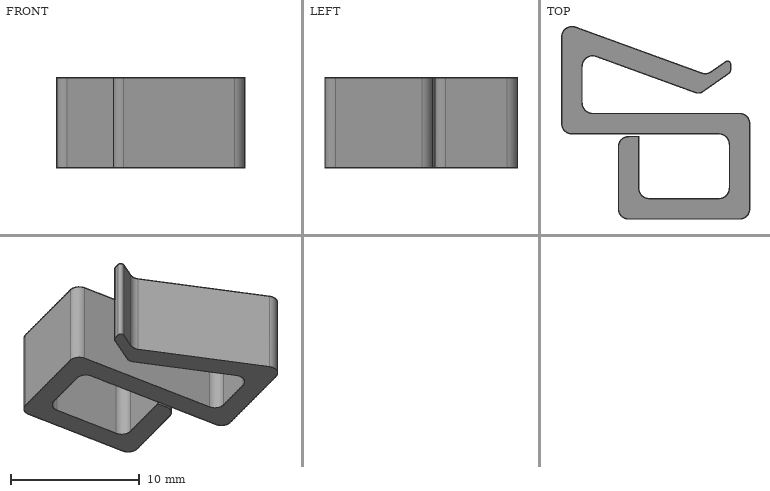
import cadquery as cq
import math

width = 14.6
depth = 14.94
height = 7.0

wall = 1.6
corner_radius = 0.8

loop_left = 4.39
bar_bottom = 6.6
bar_top = bar_bottom + wall
hook_end = 6.41

arm_angle = math.radians(20)
lip_angle = math.radians(35)
lip_thickness = 0.9
bend_x = 10.68
lip_end_x = 13.12
bend_outer_radius = 0.6
bend_inner_radius = 0.8
lip_top_radius = 0.25
lip_bottom_radius = 0.4

arm_slope = math.tan(arm_angle)
lip_slope = math.tan(lip_angle)
arm_corner_y = depth - corner_radius + corner_radius * (1 / math.cos(arm_angle) + arm_slope)
arm_drop = wall / math.cos(arm_angle)
lip_rise = lip_thickness / math.cos(lip_angle)


def arm_top(x):
    """Height in Y of the arm's outer face."""
    return arm_corner_y - arm_slope * x


def arm_bottom(x):
    """Height in Y of the arm's inner face."""
    return arm_top(x) - arm_drop


def lip_bottom(x):
    """Height in Y of the lip's lower face."""
    return arm_bottom(bend_x) + lip_slope * (x - bend_x)


def lip_top(x):
    """Height in Y of the lip's upper face."""
    return lip_bottom(x) + lip_rise


upper_bend_x = (arm_corner_y - lip_top(0)) / (arm_slope + lip_slope)

corners = [
    (loop_left, 0, corner_radius),
    (width, 0, corner_radius),
    (width, bar_top, corner_radius),
    (wall, bar_top, corner_radius),
    (wall, arm_bottom(wall), corner_radius),
    (bend_x, arm_bottom(bend_x), bend_outer_radius),
    (lip_end_x, lip_bottom(lip_end_x), lip_bottom_radius),
    (lip_end_x, lip_top(lip_end_x), lip_top_radius),
    (upper_bend_x, arm_top(upper_bend_x), bend_inner_radius),
    (0, arm_corner_y, corner_radius),
    (0, bar_bottom, corner_radius),
    (width - wall, bar_bottom, corner_radius),
    (width - wall, wall, corner_radius),
    (loop_left + wall, wall, corner_radius),
    (loop_left + wall, hook_end, 0),
    (loop_left, hook_end, corner_radius),
]

clip = cq.Workplane("XY").polyline([(x, y) for x, y, _ in corners]).close().extrude(height)

search_margin = 0.01
for x, y, radius in corners:
    if radius > 0:
        edge_box = cq.selectors.BoxSelector(
            (x - search_margin, y - search_margin, 0),
            (x + search_margin, y + search_margin, height),
        )
        clip = clip.edges("|Z").edges(edge_box).fillet(radius)

result = clip